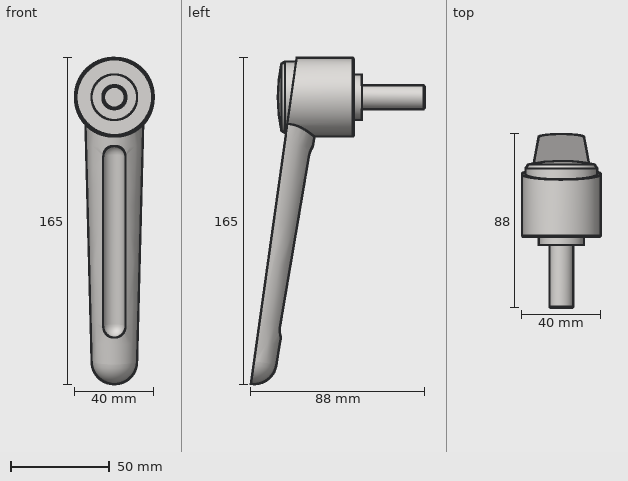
import cadquery as cq
import math

overall_height = 165.0
hub_radius = 20.0
hub_edge_chamfer = 0.8
collar_radius = 11.5
collar_length = 4.0
stud_radius = 6.1
stud_end_y = -35.8
stud_chamfer = 0.8

cap_radius = 18.2
cap_chamfer_start_y = 34.8
cap_chamfer_end_y = 36.8
cap_dome_radius = 16.8
cap_peak_y = 38.6
cap_base_y = 15.8

tilt_degrees = 8.0
back_plane_y = 31.8
handle_root_radius = 15.0
tip_radius = 11.5
tilt = math.radians(tilt_degrees)
tip_center_distance = (overall_height - hub_radius - tip_radius) / math.cos(tilt)

groove_radius = 5.6
groove_start = 28.4
groove_end = 115.5

cutter_size = 3 * overall_height


def cylinder_y(radius, start_y, end_y):
    """Cylinder on the Y axis between two Y positions."""
    return cq.Workplane("XZ", origin=(0, end_y, 0)).circle(radius).extrude(end_y - start_y)


def tilt_into_place(shape):
    """Move a shape from the upright handle frame to the tilted back plane."""
    return shape.rotate((0, 0, 0), (1, 0, 0), tilt_degrees).translate((0, back_plane_y, 0))


def behind_back_plane():
    """Block filling the space behind the upright back plane."""
    return cq.Workplane("XY").box(cutter_size, cutter_size, cutter_size, centered=(True, False, True))


def make_hub():
    hub = cylinder_y(hub_radius, 0, cap_peak_y).faces("<Y").chamfer(hub_edge_chamfer)
    return hub.cut(tilt_into_place(behind_back_plane()))


def make_cap():
    profile = (
        cq.Workplane("XY")
        .moveTo(0, cap_base_y)
        .lineTo(cap_radius, cap_base_y)
        .lineTo(cap_radius, cap_chamfer_start_y)
        .lineTo(cap_dome_radius, cap_chamfer_end_y)
    )
    dome_rise = cap_peak_y - cap_chamfer_end_y
    sphere_radius = (cap_dome_radius**2 + dome_rise**2) / (2 * dome_rise)
    middle_x = cap_dome_radius / 2
    middle_y = cap_peak_y - sphere_radius + math.sqrt(sphere_radius**2 - middle_x**2)
    profile = profile.threePointArc((middle_x, middle_y), (0, cap_peak_y)).close()
    return profile.revolve(360, (0, 0, 0), (0, 1, 0))


def surface_depth(distance):
    """Depth at the groove edges, from the flat back, at a distance down the handle."""
    taper = (handle_root_radius - tip_radius) / tip_center_distance
    radius = handle_root_radius - taper * distance
    return math.sqrt(radius**2 - groove_radius**2)


def make_groove():
    start = cq.Vector(0, -surface_depth(groove_start), -groove_start)
    end = cq.Vector(0, -surface_depth(groove_end), -groove_end)
    axis = end - start
    groove = cq.Workplane(cq.Solid.makeCylinder(groove_radius, axis.Length, start, axis))
    for center in (start, end):
        groove = groove.union(cq.Workplane("XY").sphere(groove_radius).translate(center.toTuple()))
    return groove


def make_handle():
    diagonal = tip_radius * math.sqrt(0.5)
    bar = (
        cq.Workplane("XZ")
        .lineTo(handle_root_radius, 0)
        .lineTo(tip_radius, -tip_center_distance)
        .threePointArc((diagonal, -tip_center_distance - diagonal), (0, -tip_center_distance - tip_radius))
        .close()
        .revolve(360, (0, 0, 0), (0, 1, 0))
    )
    return tilt_into_place(bar.cut(behind_back_plane()).cut(make_groove()))


collar = cylinder_y(collar_radius, -collar_length, hub_edge_chamfer)
stud = cylinder_y(stud_radius, stud_end_y, hub_edge_chamfer).faces("<Y").chamfer(stud_chamfer)

result = make_hub().union(make_cap()).union(make_handle()).union(collar).union(stud)